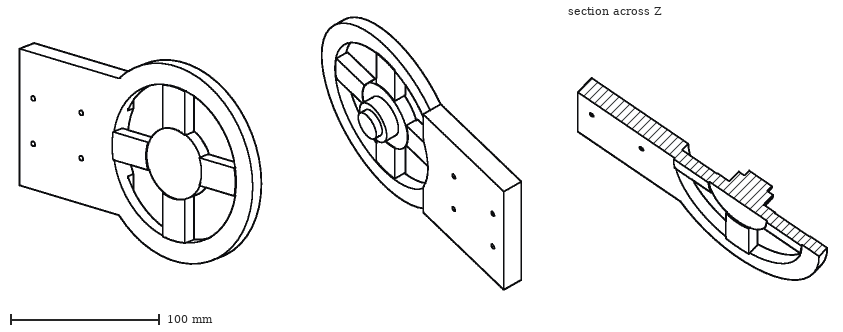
import cadquery as cq
import math


ring_outer_radius = 70.0
ring_inner_radius = 55.25
ring_thickness = 9.0
block_left = -139.15
block_height = 98.0
block_thickness = 15.0

hole_diameter = 3.4
hole_columns = (-126.9, -83.8)
hole_row_offset = 16.25

spoke_count = 4
spoke_width = 20.0
spoke_depth = 9.5
spoke_front = -1.0
hub_radius = 25.0

overall_depth = 25.0
collar_radius = 15.0
journal_radius = 10.0
journal_length = 5.0
journal_end = spoke_front + overall_depth
collar_end = journal_end - journal_length


def cylinder(radius, y_start, y_end, x=0.0, z=0.0):
    """Solid cylinder parallel to Y between two depths."""
    length = y_end - y_start
    return cq.Workplane(cq.Solid.makeCylinder(radius, length, cq.Vector(x, y_start, z), cq.Vector(0, 1, 0)))


def box(x_start, x_end, y_start, y_end, height):
    """Rectangular block centred on z = 0."""
    size_x = x_end - x_start
    size_y = y_end - y_start
    return cq.Workplane("XY").box(size_x, size_y, height, centered=(False, False, True)).translate(
        (x_start, y_start, 0)
    )


def make_frame():
    """Ring joined to the thicker block, with the wheel opening and the mounting holes."""
    block_right = -math.sqrt(ring_outer_radius**2 - (block_height / 2) ** 2)
    frame = cylinder(ring_outer_radius, 0, ring_thickness)
    frame = frame.union(box(block_left, block_right, 0, block_thickness, block_height))
    frame = frame.cut(cylinder(ring_inner_radius, 0, block_thickness))
    for x in hole_columns:
        for z in (-hole_row_offset, hole_row_offset):
            frame = frame.cut(cylinder(hole_diameter / 2, 0, block_thickness, x, z))
    return frame


def make_spokes():
    """Radial bars from the hub to the ring, with ends rounded to fit both circles."""
    spoke_back = spoke_front + spoke_depth
    bar = box(0, ring_outer_radius, spoke_front, spoke_back, spoke_width)
    bar = bar.intersect(cylinder(ring_inner_radius, spoke_front, spoke_back))
    bar = bar.cut(cylinder(hub_radius, spoke_front, spoke_back))
    spokes = cq.Workplane("XY")
    for index in range(spoke_count):
        angle = index * 360 / spoke_count
        spokes = spokes.add(bar.rotate((0, 0, 0), (0, 1, 0), angle))
    return spokes.combine()


def make_hub():
    """Flat hub disc with the collar and journal stepping out behind it."""
    hub = cylinder(hub_radius, 0, ring_thickness)
    hub = hub.union(cylinder(collar_radius, 0, collar_end))
    return hub.union(cylinder(journal_radius, 0, journal_end))


result = make_frame().union(make_hub()).union(make_spokes())